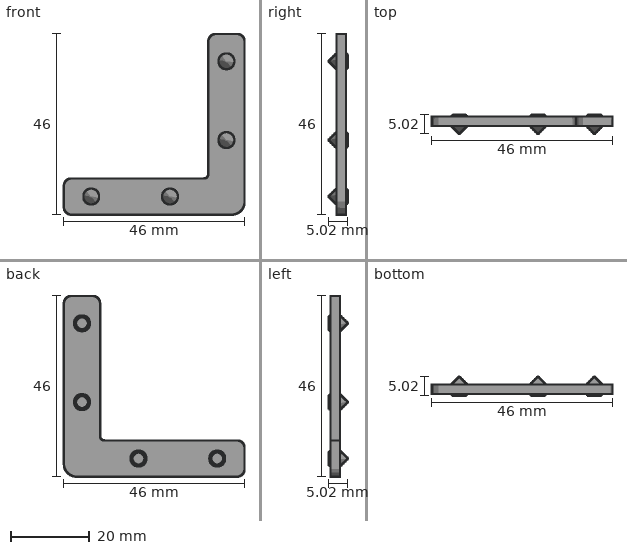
import cadquery as cq

side = 46.0
arm_width = 9.3
thickness = 2.5
end_radius = 2.0
outer_corner_radius = 3.3
inner_corner_radius = 1.0

end_to_stud = 7.0
stud_pitch = 20.0
stud_radius = 2.02
point_height = 2.02
head_height = 0.5
head_top_radius = stud_radius - head_height

stud_line = arm_width / 2


def make_plate():
    """L plate with its outer corner at +X, -Z and its front face at Y = 0."""
    outline = [
        (0, 0),
        (side, 0),
        (side, side),
        (side - arm_width, side),
        (side - arm_width, arm_width),
        (0, arm_width),
    ]
    plate = cq.Workplane("XZ").polyline(outline).close().extrude(-thickness)
    plate = plate.edges("|Y and (<X or >Z)").fillet(end_radius)
    outer_corner = cq.selectors.NearestToPointSelector((side, thickness / 2, 0))
    plate = plate.edges(outer_corner).fillet(outer_corner_radius)
    inner_corner = cq.selectors.NearestToPointSelector((side - arm_width, thickness / 2, arm_width))
    return plate.edges(inner_corner).fillet(inner_corner_radius)


def make_stud():
    """Stud revolved about the Y axis, passing through the plate."""
    profile = [
        (0, -point_height),
        (stud_radius, 0),
        (stud_radius, thickness),
        (head_top_radius, thickness + head_height),
        (0, thickness + head_height),
    ]
    return cq.Workplane("XY").polyline(profile).close().revolve(360, (0, 0, 0), (0, 1, 0))


result = make_plate()
stud = make_stud()
for from_end in (end_to_stud, end_to_stud + stud_pitch):
    result = result.union(stud.translate((from_end, 0, stud_line)))
    result = result.union(stud.translate((side - stud_line, 0, side - from_end)))